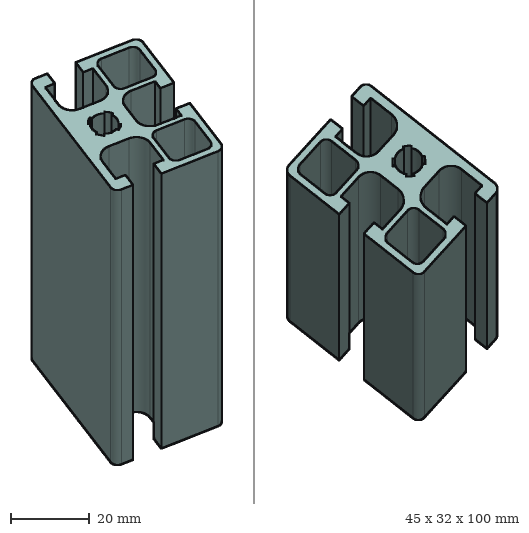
import cadquery as cq
import math

width = 45.0
depth = 32.0
length = 100.0
outer_radius = 2.0

slot_opening = 8.2
slot_inner_width = 13.8
slot_depth = 14.9
lip_thickness = 4.0
slot_corner_radius = 4.0

wall = 2.0
chamber_size = 12.0
chamber_radius = 2.0

bore_radius = 3.6
lobe_radius = 4.2
lobe_half_angle = 15.0

front_y = -9.5
back_y = front_y + depth
side_x = width / 2


def make_body():
    return (
        cq.Workplane("XY")
        .center(0, (front_y + back_y) / 2)
        .rect(width, depth)
        .extrude(length)
        .edges("|Z")
        .fillet(outer_radius)
    )


def make_slot(face_distance, turn):
    """T-slot cutter entering the +Y face, then turned about the bore axis."""
    lip_y = face_distance - lip_thickness
    floor_y = face_distance - slot_depth
    mouth = (
        cq.Workplane("XY")
        .center(0, (lip_y + face_distance) / 2)
        .rect(slot_opening, lip_thickness)
        .extrude(length)
    )
    channel = (
        cq.Workplane("XY")
        .center(0, (floor_y + lip_y) / 2)
        .rect(slot_inner_width, lip_y - floor_y)
        .extrude(length)
        .edges("|Z and <Y")
        .fillet(slot_corner_radius)
    )
    return mouth.union(channel).rotate((0, 0, 0), (0, 0, 1), turn)


def make_chambers():
    chamber_x = side_x - wall - chamber_size / 2
    chamber_y = back_y - wall - chamber_size / 2
    return (
        cq.Workplane("XY")
        .pushPoints([(-chamber_x, chamber_y), (chamber_x, chamber_y)])
        .rect(chamber_size, chamber_size)
        .extrude(length)
        .edges("|Z")
        .fillet(chamber_radius)
    )


def lobe_point(angle):
    """Point on the lobe circle at an angle in degrees."""
    radians = math.radians(angle)
    return lobe_radius * math.cos(radians), lobe_radius * math.sin(radians)


def make_bore():
    bore = cq.Workplane("XY").circle(bore_radius).extrude(length)
    for middle in (45, 135, 225, 315):
        lobe = (
            cq.Workplane("XY")
            .lineTo(*lobe_point(middle - lobe_half_angle))
            .threePointArc(lobe_point(middle), lobe_point(middle + lobe_half_angle))
            .close()
            .extrude(length)
        )
        bore = bore.union(lobe)
    return bore


result = make_body().cut(make_chambers()).cut(make_bore())
for face_distance, turn in ((back_y, 0), (side_x, 90), (side_x, -90)):
    result = result.cut(make_slot(face_distance, turn))